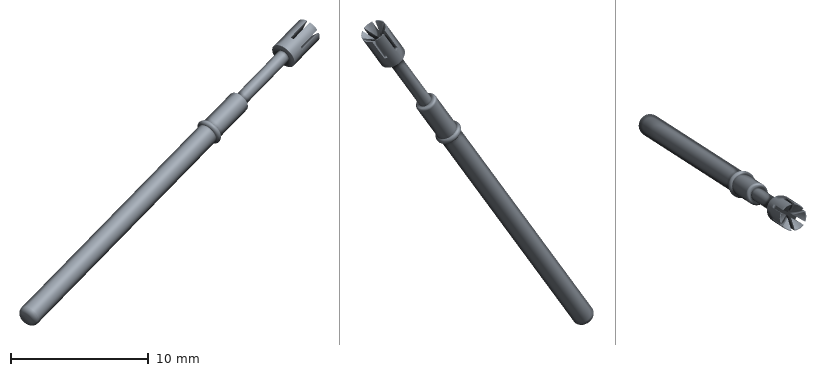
import cadquery as cq

total_length = 34.3

head_diameter = 2.03
head_length = 3.05
slot_count = 6
slot_width = 0.26
slot_depth = 2.0
recess_rim_diameter = 1.9
recess_depth = 1.2

stem_diameter = 1.0
visible_stem_length = 5.3

barrel_diameter = 1.65
tail_round_radius = 0.45
mouth_round_radius = 0.17

ring_diameter = head_diameter
ring_width = 0.5
ring_distance_from_tip = 12.06

head_base_y = total_length - head_length
barrel_length = head_base_y - visible_stem_length
ring_center_y = total_length - ring_distance_from_tip


def cylinder_along_y(diameter, start_y, length):
    """Solid cylinder on the Y axis running from start_y toward +Y."""
    base = cq.Workplane("XZ", origin=(0, start_y, 0))
    return base.circle(diameter / 2).extrude(-length)


def make_barrel():
    barrel = cylinder_along_y(barrel_diameter, 0, barrel_length)
    barrel = barrel.faces("<Y").edges().fillet(tail_round_radius)
    return barrel.faces(">Y").edges().fillet(mouth_round_radius)


def make_press_ring():
    """Round-section ring sunk into the barrel so that only its crest stands out."""
    section_radius = ring_width / 2
    section_center_x = ring_diameter / 2 - section_radius
    section = cq.Workplane("XY").center(section_center_x, ring_center_y).circle(section_radius)
    axis_start = (-section_center_x, 0, 0)
    axis_end = (-section_center_x, 1, 0)
    return section.revolve(360, axis_start, axis_end)


def make_stem():
    return cylinder_along_y(stem_diameter, barrel_length, visible_stem_length)


def make_head():
    """Cylindrical head with a conical recess in its tip, slotted into equal prongs."""
    head = cylinder_along_y(head_diameter, head_base_y, head_length)
    recess = (
        cq.Workplane("XY")
        .moveTo(0, total_length - recess_depth)
        .lineTo(recess_rim_diameter / 2, total_length)
        .lineTo(0, total_length)
        .close()
        .revolve(360, (0, 0, 0), (0, 1, 0))
    )
    head = head.cut(recess)
    slot = cq.Workplane("XY").box(slot_width, slot_depth, head_diameter)
    slot = slot.translate((0, total_length - slot_depth / 2, 0))
    for index in range(slot_count // 2):
        angle = index * 360 / slot_count
        head = head.cut(slot.rotate((0, 0, 0), (0, 1, 0), angle))
    return head


result = make_barrel().union(make_press_ring()).union(make_stem()).union(make_head())